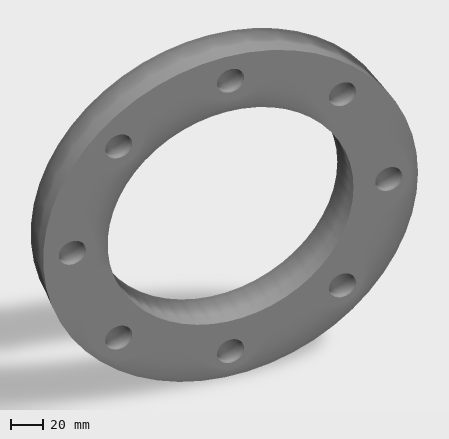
import cadquery as cq

thickness = 28.0
large_diameter = 250.0
small_diameter = 245.0
bore_diameter = 164.0

bolt_hole_count = 8
bolt_hole_diameter = 18.0
bolt_circle_diameter = 211.0

body = (
    cq.Workplane("YZ")
    .circle(small_diameter / 2)
    .workplane(offset=thickness)
    .circle(large_diameter / 2)
    .loft(ruled=True)
)

bore = cq.Workplane("YZ").circle(bore_diameter / 2).extrude(thickness)

bolt_holes = (
    cq.Workplane("YZ")
    .polarArray(bolt_circle_diameter / 2, 0, 360, bolt_hole_count)
    .circle(bolt_hole_diameter / 2)
    .extrude(thickness)
)

result = body.cut(bore).cut(bolt_holes)